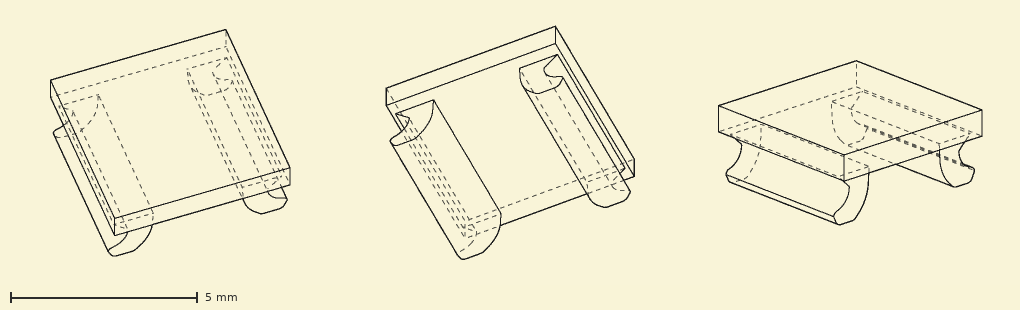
import cadquery as cq

width_x = 5.0
span_y = 5.11
height = 2.15

plate_depth_y = 5.0
plate_thickness = 0.75

leg_length_x = 4.275
leg_height = height - plate_thickness
hook_tip = span_y / 2


def make_plate():
    """Flat plate whose underside lies at Z = 0."""
    return cq.Workplane("XY").box(
        width_x, plate_depth_y, plate_thickness, centered=(True, True, False)
    )


def make_leg():
    """Hooked leg on the +Y side; profile points are (Y, Z) below the plate."""
    return (
        cq.Workplane("YZ")
        .moveTo(2.39, 0)
        .lineTo(2.005, -0.375)
        .threePointArc((1.99, -0.405), (1.99, -0.44))
        .threePointArc((2.13, -0.785), (2.425, -0.97))
        .tangentArcPoint((hook_tip, -1.105), relative=False)
        .lineTo(2.475, -1.28)
        .threePointArc((2.41, -1.36), (2.3, -leg_height))
        .lineTo(1.885, -leg_height)
        .threePointArc((1.825, -1.39), (1.77, -1.36))
        .lineTo(1.57, -1.16)
        .threePointArc((1.375, -0.835), (1.29, -0.36))
        .lineTo(1.265, 0)
        .close()
        .extrude(leg_length_x / 2, both=True)
    )


leg = make_leg()
opposite_leg = leg.mirror("XZ")
result = make_plate().union(leg).union(opposite_leg)